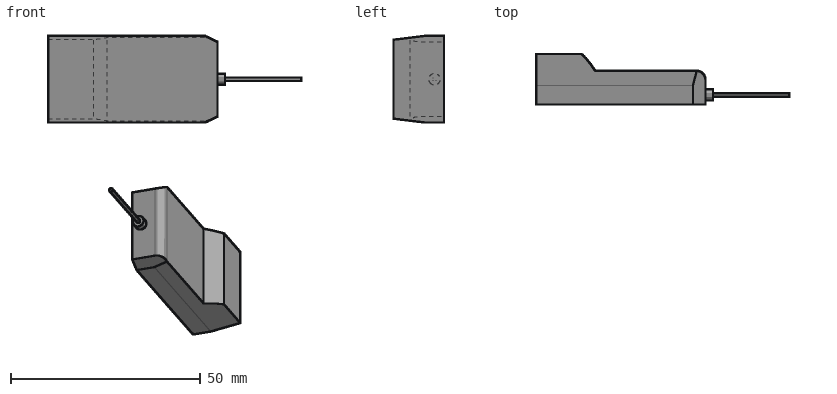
import cadquery as cq
import math

overall_length = 67.0
height = 23.0
head_depth = 13.4

body_length = 44.8
slim_depth = 9.0
head_length = 12.05
ramp_end = 15.6
ramp_bulge = 0.2
nose_radius = 2.5

straight_wall_depth = 5.0
wall_lean_angle = 7.0

bevel_length = 3.35
bevel_height = 1.6

cable_axis_depth = 2.55
collar_length = 2.0
collar_diameter = 3.0
cable_diameter = 1.0

half_height = height / 2


def make_profile_body():
    """Stepped body with a slightly bulging ramp behind the head and a rounded nose."""
    return (
        cq.Workplane("XY")
        .lineTo(body_length, 0)
        .lineTo(body_length, slim_depth - nose_radius)
        .radiusArc((body_length - nose_radius, slim_depth), -nose_radius)
        .lineTo(ramp_end, slim_depth)
        .sagittaArc((head_length, head_depth), -ramp_bulge)
        .lineTo(0, head_depth)
        .close()
        .extrude(half_height, both=True)
    )


def make_wall_envelope():
    """Cross-section along X whose upper and lower walls lean inward."""
    lean_depth = head_depth - straight_wall_depth
    lean_drop = lean_depth * math.tan(math.radians(wall_lean_angle))
    head_half_height = half_height - lean_drop
    return (
        cq.Workplane("YZ")
        .polyline([
            (0, -half_height),
            (straight_wall_depth, -half_height),
            (head_depth, -head_half_height),
            (head_depth, head_half_height),
            (straight_wall_depth, half_height),
            (0, half_height),
        ])
        .close()
        .extrude(body_length)
    )


def make_bevel_envelope():
    """Outline in the XZ plane with both nose corners bevelled."""
    bevel_start = body_length - bevel_length
    nose_half_height = half_height - bevel_height
    return (
        cq.Workplane("XZ")
        .polyline([
            (0, -half_height),
            (bevel_start, -half_height),
            (body_length, -nose_half_height),
            (body_length, nose_half_height),
            (bevel_start, half_height),
            (0, half_height),
        ])
        .close()
        .extrude(-head_depth)
    )


def make_cable():
    """Collar and cable leaving the nose along +X."""
    nose = cq.Workplane("YZ", origin=(body_length, cable_axis_depth, 0))
    collar = nose.circle(collar_diameter / 2).extrude(collar_length)
    cable = nose.circle(cable_diameter / 2).extrude(overall_length - body_length)
    return collar.union(cable)


body = make_profile_body().intersect(make_wall_envelope()).intersect(make_bevel_envelope())
result = body.union(make_cable())